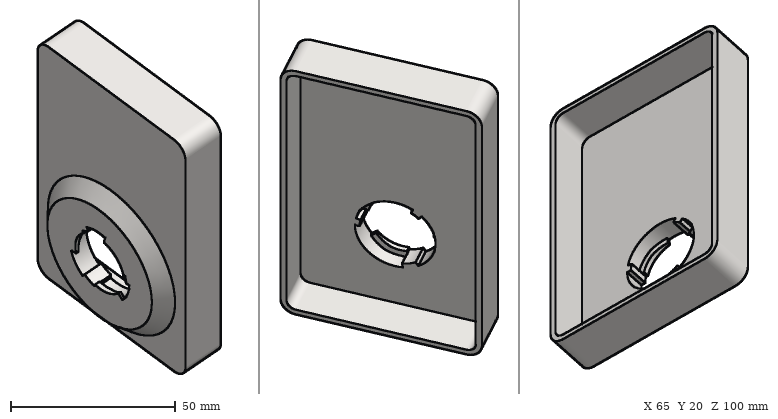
import cadquery as cq
import math

WIDTH = 65.0
HEIGHT = 100.0
BODY_DEPTH = 15.0
CORNER_RADIUS = 5.0
WALL = 2.0

BOSS_HEIGHT = 5.0
BOSS_BASE_RADIUS = 28.0
BOSS_TOP_RADIUS = BOSS_BASE_RADIUS - BOSS_HEIGHT
BOSS_CENTER_Z = 30.0

BORE_RADIUS = 10.7
STEP_RADIUS = 11.5
SLOT_RADIUS = 13.0
LIP_THICKNESS = 2.0
RAMP_DROP = 1.0
RAMP_LENGTH = 6.0
OPENING_DEPTH = WALL + BOSS_HEIGHT
KEYS = [(-40.0, 0.0, 13.0), (80.0, 116.0, 131.0), (196.0, 235.0, 259.0)]


def front_plane(y):
    """Sketch plane at depth y, centred on the boss and facing -Y."""
    return cq.Workplane("XZ", origin=(0, y, BOSS_CENTER_Z))


def rounded_block(width, height, depth, corner_radius):
    """Block from the front face y = 0 back to y = depth, centred on the plate."""
    return (
        cq.Workplane("XZ", origin=(0, 0, HEIGHT / 2))
        .rect(width, height)
        .extrude(-depth)
        .edges("|Y")
        .fillet(corner_radius)
    )


def housing():
    cavity = rounded_block(WIDTH - 2 * WALL, HEIGHT - 2 * WALL, BODY_DEPTH, CORNER_RADIUS - WALL)
    return rounded_block(WIDTH, HEIGHT, BODY_DEPTH, CORNER_RADIUS).cut(cavity.translate((0, WALL, 0)))


def boss():
    return (
        front_plane(0)
        .circle(BOSS_BASE_RADIUS)
        .workplane(offset=BOSS_HEIGHT)
        .circle(BOSS_TOP_RADIUS)
        .loft()
    )


def polar(radius, angle):
    turn = math.radians(angle)
    return radius * math.cos(turn), radius * math.sin(turn)


def sector(radius, start, end, length=OPENING_DEPTH):
    """Pie-shaped cutter reaching forward by length from the back of the front wall."""
    return (
        front_plane(WALL)
        .lineTo(*polar(radius, start))
        .threePointArc(polar(radius, (start + end) / 2), polar(radius, end))
        .close()
        .extrude(length)
    )


def lead_in_ramp(start, end):
    """Wedge that thins the lip, deepest at angle end and limited to the undercut sector."""
    lip_back = LIP_THICKNESS - BOSS_HEIGHT
    wedge = (
        cq.Workplane("YZ")
        .polyline([(lip_back, 0), (lip_back - RAMP_DROP, 0), (lip_back, -RAMP_LENGTH)])
        .close()
        .extrude(SLOT_RADIUS)
        .rotate((0, 0, 0), (0, 1, 0), -end)
        .translate((0, 0, BOSS_CENTER_Z))
    )
    return wedge.intersect(sector(SLOT_RADIUS, start, end))


def keyed_opening():
    opening = front_plane(WALL).circle(BORE_RADIUS).extrude(OPENING_DEPTH)
    next_slot_starts = [KEYS[1][0], KEYS[2][0], KEYS[0][0] + 360.0]
    for (slot_start, step_start, step_end), next_slot_start in zip(KEYS, next_slot_starts):
        opening = opening.union(sector(SLOT_RADIUS, slot_start, step_start))
        opening = opening.union(sector(STEP_RADIUS, step_start, step_end))
        undercut = sector(SLOT_RADIUS, step_end, next_slot_start, OPENING_DEPTH - LIP_THICKNESS)
        opening = opening.union(undercut)
        opening = opening.union(lead_in_ramp(step_end, next_slot_start))
    return opening


result = housing().union(boss()).cut(keyed_opening())